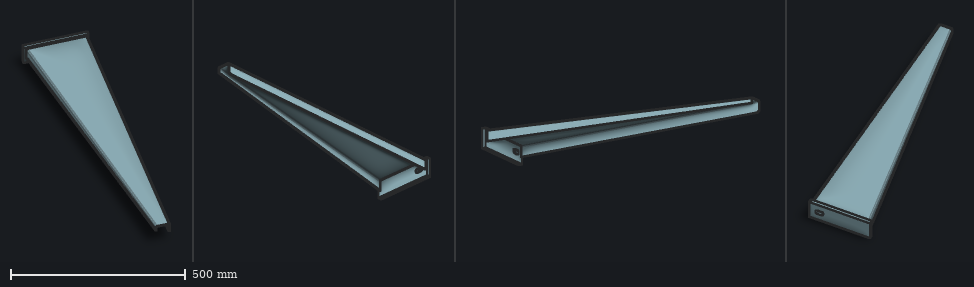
import cadquery as cq
import math

plate_thickness = 12.0
plate_width = 195.0
plate_height = 60.0

slot_length = 25.0
slot_height = 13.0
slot_center_y = 162.5
slot_center_z = plate_height / 2

overall_length = 822.23
sheet_thickness = 2.5
bend_radius = 5.0
inner_radius = bend_radius - sheet_thickness
arm_top = 56.0
flange_depth = 35.0
tip_flange_depth = flange_depth / 2
back_face_y = 191.0
root_front_y = 6.2
slant_angle = math.radians(9.95)
tip_corner_chamfer = 5.0
bend_steps = 8

bulge_angle = math.acos(2 / math.pi)
bulge_share = math.sin(bulge_angle) - bulge_angle / (math.pi / 2)
bend_bulge = bend_radius * math.sin(slant_angle) * bulge_share

arm_start = plate_thickness
arm_end = overall_length - bend_bulge
arm_length = arm_end - arm_start
arm_rise = arm_length * math.tan(slant_angle)
inner_top = arm_top - sheet_thickness
bend_axis_z = arm_top - bend_radius
arm_bottom = arm_top - flange_depth

back_bend_y = back_face_y - bend_radius
root_bend_y = root_front_y + bend_radius / math.cos(slant_angle)
tip_bend_y = root_bend_y + arm_rise


def make_plate():
    """Rectangular wall plate with one slot."""
    blank = cq.Workplane("XY").box(plate_thickness, plate_width, plate_height, centered=False)
    slot = (
        cq.Workplane("YZ", origin=(0, slot_center_y, slot_center_z))
        .slot2D(slot_length, slot_height)
        .extrude(plate_thickness)
    )
    return blank.cut(slot)


def make_top():
    """Tapered flat top between the two bend lines."""
    return (
        cq.Workplane("XY", origin=(0, 0, inner_top))
        .moveTo(arm_start, root_bend_y)
        .lineTo(arm_end, tip_bend_y)
        .lineTo(arm_end, back_bend_y)
        .lineTo(arm_start, back_bend_y)
        .close()
        .extrude(sheet_thickness)
    )


def make_back_flange():
    """Straight bend and flange of full depth, with the lower tip corner chamfered."""
    diagonal = math.sqrt(0.5)
    inner_face_y = back_face_y - sheet_thickness
    return (
        cq.Workplane("YZ", origin=(arm_start, 0, 0))
        .moveTo(back_bend_y, arm_top)
        .threePointArc(
            (back_bend_y + bend_radius * diagonal, bend_axis_z + bend_radius * diagonal),
            (back_face_y, bend_axis_z),
        )
        .lineTo(back_face_y, arm_bottom)
        .lineTo(inner_face_y, arm_bottom)
        .lineTo(inner_face_y, bend_axis_z)
        .threePointArc(
            (back_bend_y + inner_radius * diagonal, bend_axis_z + inner_radius * diagonal),
            (back_bend_y, inner_top),
        )
        .close()
        .extrude(arm_length)
        .faces(">X")
        .edges("<Z")
        .chamfer(tip_corner_chamfer)
    )


def bend_end_edge(radius, end_x, end_bend_y):
    """End edge of the slanted bend: straight in the unfolded sheet, so a helix once bent."""
    points = []
    for step in range(bend_steps + 1):
        turn = step / bend_steps
        bend_angle = turn * math.pi / 2
        outward = radius * math.sin(bend_angle)
        backward = radius * math.tan(slant_angle) * turn
        points.append(
            cq.Vector(
                end_x + outward * math.sin(slant_angle) - backward * math.cos(slant_angle),
                end_bend_y - outward * math.cos(slant_angle) - backward * math.sin(slant_angle),
                bend_axis_z + radius * math.cos(bend_angle),
            )
        )
    return cq.Edge.makeSpline(points)


def make_front_bend():
    """Slanted quarter bend, bounded by its four helical end edges."""
    outer_root = bend_end_edge(bend_radius, arm_start, root_bend_y)
    outer_tip = bend_end_edge(bend_radius, arm_end, tip_bend_y)
    inner_root = bend_end_edge(inner_radius, arm_start, root_bend_y)
    inner_tip = bend_end_edge(inner_radius, arm_end, tip_bend_y)
    loop = [outer_root, outer_tip, inner_tip, inner_root]
    faces = [cq.Face.makeRuledSurface(loop[i - 1], loop[i]) for i in range(len(loop))]
    for corners in ([edge.startPoint() for edge in loop], [edge.endPoint() for edge in loop]):
        faces.append(cq.Face.makeFromWires(cq.Wire.makePolygon(corners, close=True)))
    return cq.Workplane(cq.Solid.makeSolid(cq.Shell.makeShell(faces)).fix())


def make_front_flange():
    """Slanted upright flange whose depth tapers evenly to the tip."""
    outer_y = root_front_y
    inner_y = root_front_y + sheet_thickness / math.cos(slant_angle)
    flange = (
        cq.Workplane("XY", origin=(0, 0, bend_axis_z))
        .moveTo(arm_start, outer_y)
        .lineTo(arm_end, outer_y + arm_rise)
        .lineTo(arm_end, inner_y + arm_rise)
        .lineTo(arm_start, inner_y)
        .close()
        .extrude(arm_bottom - bend_axis_z)
    )
    below_taper = (
        cq.Workplane("XZ")
        .moveTo(arm_start, arm_bottom)
        .lineTo(arm_end, arm_top - tip_flange_depth)
        .lineTo(arm_end, arm_bottom)
        .close()
        .extrude(-plate_width)
    )
    return flange.cut(below_taper)


plate = make_plate()
arm_parts = (
    make_top()
    .union(make_back_flange())
    .union(make_front_bend())
    .union(make_front_flange())
)
arm = arm_parts.solids()

result = cq.Compound.makeCompound([plate.val(), arm.val()])